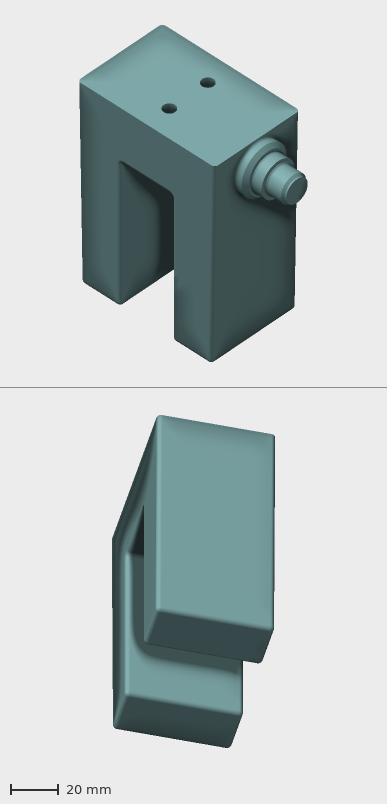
import cadquery as cq

height = 110.0
depth = 51.0
top_width = 80.0
tip_width = 76.0
edge_radius = 2.0

slot_width = 30.0
bridge_height = 30.1
slot_corner_radius = 2.0

hole_diameter = 6.6
hole_spacing = 23.1

overall_length = 103.0
plug_drop = 15.0
flange_radius = 13.5
flange_root_fillet = 1.0
flange_end = 46.0
flange_chamfer = 2.0
collar_radius = 9.9
collar_end = 52.0
relief_radius = 8.0
relief_length = 0.8
pin_radius = 7.6
pin_end = overall_length - top_width / 2
pin_tip_radius = 6.5
pin_tip_length = 0.8
pin_chamfer_length = 1.3


def make_housing():
    """Tapered fork with rounded edges everywhere except around its top face."""
    block = (
        cq.Workplane("XZ")
        .polyline(
            [
                (-top_width / 2, height),
                (top_width / 2, height),
                (tip_width / 2, 0),
                (-tip_width / 2, 0),
            ]
        )
        .close()
        .extrude(depth / 2, both=True)
    )
    slot_height = height - bridge_height
    slot = (
        cq.Workplane("XY")
        .box(slot_width, depth, slot_height, centered=(True, True, False))
        .edges("|Y and >Z")
        .fillet(slot_corner_radius)
    )
    fork = block.cut(slot)
    arm_side_edges = fork.faces("<Y or >Y").edges("not >Z")
    tip_edges = fork.faces("<Z").edges("|Y")
    return arm_side_edges.add(tip_edges).fillet(edge_radius)


def make_holes():
    """Two holes spaced along Y, running vertically through the bridge."""
    return (
        cq.Workplane("XY", origin=(0, 0, height))
        .pushPoints([(0, -hole_spacing / 2), (0, hole_spacing / 2)])
        .circle(hole_diameter / 2)
        .extrude(-bridge_height - edge_radius)
    )


def make_plug():
    """Stepped plug turned about its own axis, starting inside the housing wall."""
    root = (slot_width + tip_width) / 4
    profile = [
        (root, 0),
        (root, flange_radius),
        (flange_end - flange_chamfer, flange_radius),
        (flange_end, flange_radius - flange_chamfer),
        (flange_end, collar_radius),
        (collar_end, collar_radius),
        (collar_end, relief_radius),
        (collar_end + relief_length, pin_radius),
        (pin_end - pin_tip_length - pin_chamfer_length, pin_radius),
        (pin_end - pin_tip_length, pin_tip_radius),
        (pin_end, pin_tip_radius),
        (pin_end, 0),
    ]
    return (
        cq.Workplane("XZ", origin=(0, 0, height - plug_drop))
        .polyline(profile)
        .close()
        .revolve(360, (0, 0, 0), (1, 0, 0))
    )


def blend_plug_root(body):
    """Round the inner corner where the plug flange meets the sloping housing wall."""
    plug_z = height - plug_drop
    reach = flange_radius + flange_root_fillet
    root_edges = cq.selectors.BoxSelector(
        (tip_width / 2, -reach, plug_z - reach),
        (top_width / 2, reach, plug_z + reach),
        boundingbox=True,
    )
    return body.edges(root_edges).fillet(flange_root_fillet)


body = make_housing().union(make_plug())
result = blend_plug_root(body).cut(make_holes())